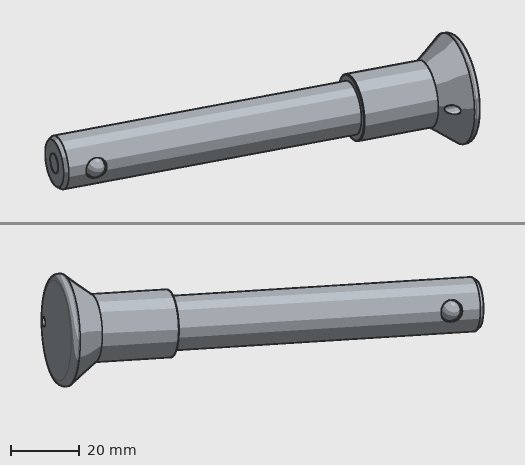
import cadquery as cq

length = 127.9
head_radius = 16.5
head_depth = 11.0
rim_round = 1.8
rim_land = 0.5
sleeve_radius = 10.0
sleeve_length = 23.4
sleeve_chamfer = 0.3
shank_radius = 8.0
tip_chamfer = 1.3
tip_chamfer_inset = 0.9

spindle_radius = 3.0
spindle_proud = 0.1

ball_radius = 3.1
ball_reach = 9.6
ball_from_tip = 10.1
pocket_radius = 3.26
pocket_depth = 1.7

lanyard_hole_diameter = 3.0
lanyard_hole_offset = 12.5

tip_y = -length / 2
back_y = length / 2
shank_end_y = tip_y + spindle_proud
cone_end_y = back_y - head_depth
sleeve_end_y = cone_end_y - sleeve_length
rim_y = back_y - rim_round
ball_y = tip_y + ball_from_tip


def turned_body():
    """Spindle end, shank, sleeve and flared head as one revolved profile."""
    profile = (
        cq.Workplane("XY")
        .moveTo(0, tip_y)
        .lineTo(spindle_radius, tip_y)
        .lineTo(spindle_radius, shank_end_y)
        .lineTo(shank_radius - tip_chamfer_inset, shank_end_y)
        .lineTo(shank_radius, shank_end_y + tip_chamfer)
        .lineTo(shank_radius, sleeve_end_y)
        .lineTo(sleeve_radius - sleeve_chamfer, sleeve_end_y)
        .lineTo(sleeve_radius, sleeve_end_y + sleeve_chamfer)
        .lineTo(sleeve_radius, cone_end_y)
        .lineTo(head_radius, rim_y - rim_land)
        .lineTo(head_radius, rim_y)
        .radiusArc((head_radius - rim_round, back_y), -rim_round)
        .lineTo(0, back_y)
        .close()
    )
    return profile.revolve(360, (0, 0, 0), (0, 1, 0))


def add_locking_ball(body, side):
    """Seat a ball in a shallow round pocket; side is -1 or +1 along X."""
    pocket_floor = shank_radius - pocket_depth
    pocket = (
        cq.Workplane("YZ", origin=(side * pocket_floor, 0, 0))
        .center(ball_y, 0)
        .circle(pocket_radius)
        .extrude(side * 2 * pocket_depth)
    )
    ball_x = side * (ball_reach - ball_radius)
    ball = cq.Workplane("XY", origin=(ball_x, ball_y, 0)).sphere(ball_radius)
    return body.cut(pocket).union(ball)


def lanyard_hole():
    return (
        cq.Workplane("XZ", origin=(0, back_y, 0))
        .center(lanyard_hole_offset, 0)
        .circle(lanyard_hole_diameter / 2)
        .extrude(head_depth)
    )


result = turned_body().cut(lanyard_hole())
for side in (-1, 1):
    result = add_locking_ball(result, side)